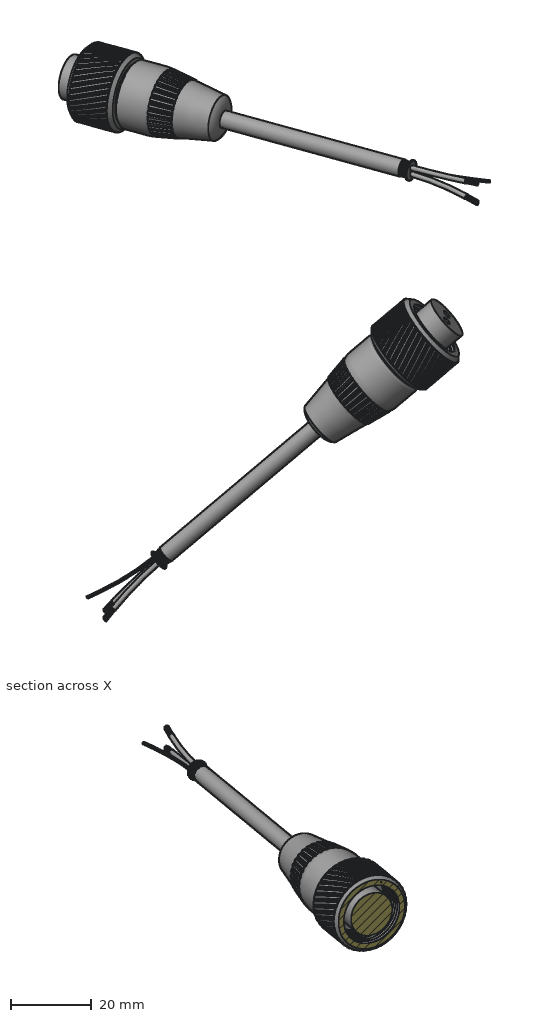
import cadquery as cq
import math


NUT_START = 4.2
NUT_END = 17.0
BODY_START = 17.6
BLEND_START = 24.8
KNURL_START = 26.5
KNURL_END = 32.8
TAPER_END = 42.2
BODY_END = 43.4
SHEATH_END = 93.7
FLARE_START = 95.2
RIM_START = 95.9
COLLAR_END = 96.2
BEND_END = 112.5
TOTAL_LENGTH = 115.8

INSERT_DIAMETER = 11.7
PIN_SPACING = 4.5
PIN_MOUTH = 2.2
PIN_DEPTH = 0.8

NUT_DIAMETER = 20.6
NUT_CHAMFER = 1.2
BEVEL_RIM = 0.1
NUT_RIDGES = 40
NUT_RIDGE_DEPTH = 0.2
NUT_TWIST = -24
THREAD_MINOR = 15.2
THREAD_MAJOR = 15.9
THREAD_PITCH = 1.0
THREAD_RINGS = 8

LAND_SHARE = 0.4
FLOOR_SHARE = 0.2

NECK_DIAMETER = 15.9
BODY_DIAMETER = 17.8
KNURL_START_RADIUS = 8.6
TAPER_END_RADIUS = 5.9
NOSE_RADIUS = 3.4
NOSE_ROUND = 3.5
BODY_EDGE_RADIUS = 0.7
GRIP_RIDGES = 32
GRIP_RIDGE_DEPTH = 0.3

CABLE_DIAMETER = 4.5
COLLAR_PROFILE = [(SHEATH_END, 2.2), (FLARE_START, 2.0), (RIM_START, 2.7), (COLLAR_END, 2.7)]
COLLAR_RIDGES = 24
COLLAR_RIDGE_DEPTH = 0.17

WIRE_DIAMETER = 1.4
STRAND_DIAMETER = 0.21
STRAND_SPACING = 0.28
DRAIN_STRAND_DIAMETER = 0.13
DRAIN_STRAND_SPACING = 0.15
STRAND_ROOT = 1.2
STRAND_LAYERS = 2
TAIL_EXCESS = 1.2
WIRE_OFFSET = (-0.1, 0.87)
WIRE_DRIFT = (-1.3, 1.4)
DRAIN_OFFSET = (1.3, 0.0)
DRAIN_DRIFT = (2.3, 0.0)


def along_x(x):
    """Workplane across the axis at x, with local axes Y and Z."""
    return cq.Workplane("YZ", origin=(x, 0, 0))


def cylinder(start, end, diameter):
    return along_x(start).circle(diameter / 2).extrude(end - start)


def ridge_points(radius, depth, count):
    """Corners of a ridged outline: flat-topped ridges at the radius, grooves one depth below it."""
    pitch = 2 * math.pi / count
    land = LAND_SHARE * pitch / 2
    floor = FLOOR_SHARE * pitch / 2
    points = []
    for i in range(count):
        ridge = i * pitch
        groove = ridge + pitch / 2
        corners = [
            (radius, ridge - land),
            (radius, ridge + land),
            (radius - depth, groove - floor),
            (radius - depth, groove + floor),
        ]
        points += [(r * math.cos(angle), r * math.sin(angle)) for r, angle in corners]
    return points


def ridged_loft(profile, depth, count):
    """Straight ridges running along X through (x, crest radius) stations."""
    wires = []
    for x, radius in profile:
        wires.append(along_x(x).polyline(ridge_points(radius, depth, count)).close().val())
    return cq.Workplane(cq.Solid.makeLoft(wires, True))


def join(parts):
    """One solid from touching parts; seams are left as they are to keep the ridges cheap to build."""
    solids = [solid for part in parts for solid in part.vals()]
    return cq.Workplane(solids[0].fuse(*solids[1:]))


def make_insert():
    insert = cylinder(0, NUT_END, INSERT_DIAMETER)
    for z in (-PIN_SPACING / 2, PIN_SPACING / 2):
        socket = cq.Solid.makeCone(PIN_MOUTH / 2, 0, PIN_DEPTH, cq.Vector(0, 0, z), cq.Vector(1, 0, 0))
        insert = insert.cut(cq.Workplane(socket))
    return insert


def make_nut_parts():
    """Front bevel, ridged band and rear bevel, with the bore already cut."""
    bevel_diameter = NUT_DIAMETER - NUT_RIDGE_DEPTH
    bevel = NUT_CHAMFER - BEVEL_RIM
    ridges_start = NUT_START + NUT_CHAMFER
    ridges_end = NUT_END - NUT_CHAMFER
    front = cylinder(NUT_START, ridges_start, bevel_diameter).faces("<X").chamfer(bevel)
    rear = cylinder(ridges_end, NUT_END, bevel_diameter).faces(">X").chamfer(bevel)

    outline = ridge_points(NUT_DIAMETER / 2, NUT_RIDGE_DEPTH, NUT_RIDGES)
    ridges_length = ridges_end - ridges_start
    ridges = along_x(ridges_start).polyline(outline).close().twistExtrude(ridges_length, NUT_TWIST)
    bore = make_threaded_bore()
    return [front.cut(bore), ridges.cut(bore, clean=False), rear]


def make_threaded_bore():
    """Space around the insert; the thread is simplified to V-shaped rings on its wall."""
    minor = THREAD_MINOR / 2
    outline = [(NUT_START, 0)]
    for i in range(THREAD_RINGS):
        x = NUT_START + i * THREAD_PITCH
        outline += [(x, minor), (x + THREAD_PITCH / 2, THREAD_MAJOR / 2)]
    bore_end = NUT_START + THREAD_RINGS * THREAD_PITCH
    outline += [(bore_end, minor), (bore_end, 0)]
    return cq.Workplane("XY").polyline(outline).close().revolve(360, (0, 0, 0), (1, 0, 0))


def make_grip():
    radius = BODY_DIAMETER / 2
    slope = (KNURL_START_RADIUS - TAPER_END_RADIUS) / (TAPER_END - KNURL_START)
    knurl_end_radius = KNURL_START_RADIUS - slope * (KNURL_END - KNURL_START)
    neck = cylinder(NUT_END, BODY_START, NECK_DIAMETER)
    front = (
        cq.Workplane("XY")
        .moveTo(BODY_START, 0)
        .lineTo(BODY_START, radius - BODY_EDGE_RADIUS)
        .radiusArc((BODY_START + BODY_EDGE_RADIUS, radius), BODY_EDGE_RADIUS)
        .lineTo(BLEND_START, radius)
        .tangentArcPoint((KNURL_START, KNURL_START_RADIUS), relative=False)
        .lineTo(KNURL_START, 0)
        .close()
        .revolve(360, (0, 0, 0), (1, 0, 0))
    )
    crest = GRIP_RIDGE_DEPTH / 2
    knurl = ridged_loft(
        [(KNURL_START, KNURL_START_RADIUS + crest), (KNURL_END, knurl_end_radius + crest)],
        GRIP_RIDGE_DEPTH,
        GRIP_RIDGES,
    )
    rear = (
        cq.Workplane("XY")
        .moveTo(KNURL_END, 0)
        .lineTo(KNURL_END, knurl_end_radius)
        .lineTo(TAPER_END, TAPER_END_RADIUS)
        .radiusArc((BODY_END, NOSE_RADIUS), NOSE_ROUND)
        .lineTo(BODY_END, 0)
        .close()
        .revolve(360, (0, 0, 0), (1, 0, 0))
    )
    return join([neck, front, knurl, rear])


def make_cable():
    cable = cylinder(BODY_END, SHEATH_END, CABLE_DIAMETER)
    collar = ridged_loft(COLLAR_PROFILE, COLLAR_RIDGE_DEPTH, COLLAR_RIDGES)
    return join([cable, collar])


def strand_places(spacing):
    """Hexagonal cluster of strand centres around a middle strand."""
    places = []
    for row in range(-STRAND_LAYERS, STRAND_LAYERS + 1):
        count = 2 * STRAND_LAYERS + 1 - abs(row)
        for i in range(count):
            side = (i - (count - 1) / 2) * spacing
            places.append((side, row * spacing * math.sqrt(3) / 2))
    return places


def bend_edges(offset, drift):
    """Arc that leaves the collar parallel to X and drifts sideways, and the straight tail after it."""
    start = cq.Vector(COLLAR_END - STRAND_ROOT, *offset)
    end = cq.Vector(BEND_END, offset[0] + drift[0], offset[1] + drift[1])
    along = cq.Vector(1, 0, 0)
    arc = cq.Edge.makeTangentArc(start, along, end)
    tail_length = TAIL_EXCESS * (TOTAL_LENGTH - BEND_END)
    tail = cq.Edge.makeLine(end, end + arc.tangentAt(1) * tail_length)
    return arc, tail


def sweep_circles(places, diameter, start, edges):
    """Round wires at the given (y, z) places around a start point, swept along joined edges."""
    section = cq.Workplane("YZ", origin=start.toTuple()).pushPoints(places).circle(diameter / 2)
    return section.sweep(cq.Workplane(cq.Wire.assembleEdges(edges)))


def trim_tip(wire):
    """Cut a loose end square at the full length."""
    return wire.cut(cylinder(TOTAL_LENGTH, 2 * TOTAL_LENGTH, NUT_DIAMETER))


def make_wire(side):
    """Insulated wire bending upward (side 1) or downward (side -1), with bare strands at its end."""
    offset = (WIRE_OFFSET[0], side * WIRE_OFFSET[1])
    drift = (WIRE_DRIFT[0], side * WIRE_DRIFT[1])
    arc, tail = bend_edges(offset, drift)
    insulation = sweep_circles([(0, 0)], WIRE_DIAMETER, arc.startPoint(), [arc])

    direction = arc.tangentAt(1)
    root = arc.endPoint() - direction * STRAND_ROOT
    root_plane = cq.Plane(origin=root.toTuple(), normal=direction.toTuple())
    strands = (
        cq.Workplane(root_plane)
        .pushPoints(strand_places(STRAND_SPACING))
        .circle(STRAND_DIAMETER / 2)
        .extrude(STRAND_ROOT + tail.Length())
    )
    return trim_tip(insulation.union(strands))


def make_drain():
    """Bare drain wire: a strand bundle bending to the +Y side."""
    arc, tail = bend_edges(DRAIN_OFFSET, DRAIN_DRIFT)
    places = strand_places(DRAIN_STRAND_SPACING)
    return trim_tip(sweep_circles(places, DRAIN_STRAND_DIAMETER, arc.startPoint(), [arc, tail]))


result = join(
    [
        make_insert(),
        *make_nut_parts(),
        make_grip(),
        make_cable(),
        make_wire(1),
        make_wire(-1),
        make_drain(),
    ]
)